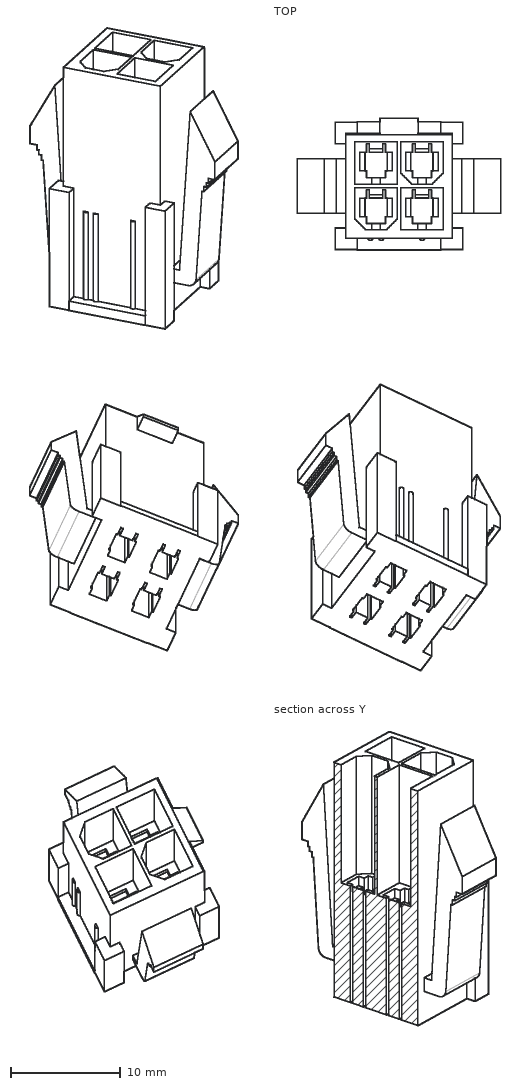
import cadquery as cq

HEIGHT = 23.9
BODY_X = 9.8
BODY_Y = 9.6

POST_SPAN = 11.69
POST_GAP = 7.7
POST_HEIGHT = 11.9
FOOT_SPAN = 11.75
FOOT_HEIGHT = 0.95

RIDGE_WIDTH = 0.48
RIDGE_RISE = 0.2
RIDGE_TOP = 9.78
RIDGE_X = (-2.63, -1.63, 2.13)

LATCH_WIDTH = 3.5
LATCH_REACH = 6.21
LATCH_BOTTOM = 20.85
LATCH_NOSE_TOP = 21.45
RAMP_TOP_Y = 4.68

ARM_WIDTH = 5.02
ARM_TIP = (6.84, 20.75)
HOOK_REACH = 9.35
HOOK_TOP = 16.15
HOOK_BOTTOM = 14.36
GRIP_STEPS = ((8.65, 13.86), (8.45, 13.43), (8.2, 12.93))
ARM_NECK_X = 8.03
ARM_BOTTOM = 3.15
ARM_SLOT_FLOOR = 4.55
ARM_SLOT_X = 5.75
ARM_ROUND = 0.84

PITCH = 4.2
CAVITY = 3.87
CAVITY_FLOOR = POST_HEIGHT
KEY_CHAMFER = 1.0

PASSAGE_WIDTH = 2.0
PASSAGE_BACK = 0.98
PASSAGE_FRONT = -0.72
SHELF_WIDTH = 3.0
SHELF_DEPTH = 0.95
SLOT_WIDTH = 1.72
SLOT_BACK = 1.75
SLOT_FRONT = -1.35
TONGUE_WIDTH = 1.27
TONGUE_STEP_Y = 1.31
TONGUE_STEP = 0.48
GROOVE_WIDTH = 0.76
GROOVE_DROP = 2.63


def block(x0, x1, y0, y1, z0, z1):
    """Box between two opposite corners."""
    return cq.Workplane("XY").box(x1 - x0, y1 - y0, z1 - z0, centered=False).translate((x0, y0, z0))


def centred_block(width, depth, z0, z1):
    """Box centred on the Z axis."""
    return block(-width / 2, width / 2, -depth / 2, depth / 2, z0, z1)


def extrude_along_x(points, width):
    """Prism with a (y, z) outline, centred on x = 0."""
    return cq.Workplane("YZ").polyline(points).close().extrude(width / 2, both=True)


def make_posts_and_feet():
    """Four L-shaped corner posts, joined at the base by two foot bars."""
    posts = centred_block(POST_SPAN, POST_SPAN, 0, POST_HEIGHT)
    posts = posts.cut(centred_block(POST_GAP, POST_SPAN, 0, POST_HEIGHT))
    posts = posts.cut(centred_block(POST_SPAN, POST_GAP, 0, POST_HEIGHT))
    return posts.union(centred_block(POST_GAP, FOOT_SPAN, 0, FOOT_HEIGHT))


def make_ridge(x):
    """Ridge on the -Y face with a shallow arc section, rooted inside the wall."""
    face_y = -BODY_Y / 2
    root_y = face_y + RIDGE_RISE
    left = x - RIDGE_WIDTH / 2
    right = x + RIDGE_WIDTH / 2
    section = cq.Workplane("XY").moveTo(left, face_y)
    section = section.threePointArc((x, face_y - RIDGE_RISE), (right, face_y))
    section = section.lineTo(right, root_y).lineTo(left, root_y).close()
    return section.extrude(RIDGE_TOP)


def make_latch():
    """Wedge with its ramp facing up and outwards."""
    outline = [
        (0, LATCH_BOTTOM),
        (LATCH_REACH, LATCH_BOTTOM),
        (LATCH_REACH, LATCH_NOSE_TOP),
        (RAMP_TOP_Y, HEIGHT),
        (0, HEIGHT),
    ]
    return extrude_along_x(outline, LATCH_WIDTH)


def make_body():
    """Box whose top +Y edge is bevelled in line with the latch ramp."""
    ramp_slope = (HEIGHT - LATCH_NOSE_TOP) / (LATCH_REACH - RAMP_TOP_Y)
    back = BODY_Y / 2
    bevel_bottom = HEIGHT - ramp_slope * (back - RAMP_TOP_Y)
    outline = [(-back, 0), (back, 0), (back, bevel_bottom), (RAMP_TOP_Y, HEIGHT), (-back, HEIGHT)]
    return extrude_along_x(outline, BODY_X)


def make_arm():
    """Leaning arm on the +X side with a hook, grip steps and a rounded elbow."""
    inner_lean = (ARM_TIP[0] - ARM_SLOT_X) / (ARM_TIP[1] - ARM_SLOT_FLOOR)
    neck_z = GRIP_STEPS[-1][1]
    elbow_x = ARM_NECK_X - inner_lean * (neck_z - ARM_BOTTOM)
    outline = [
        (0, ARM_BOTTOM),
        (0, ARM_SLOT_FLOOR),
        (ARM_SLOT_X, ARM_SLOT_FLOOR),
        ARM_TIP,
        (HOOK_REACH, HOOK_TOP),
        (HOOK_REACH, HOOK_BOTTOM),
    ]
    step_top = HOOK_BOTTOM
    for step_x, step_bottom in GRIP_STEPS:
        outline += [(step_x, step_top), (step_x, step_bottom)]
        step_top = step_bottom
    outline += [(ARM_NECK_X, neck_z), (elbow_x, ARM_BOTTOM)]
    arm = cq.Workplane("XZ").polyline(outline).close().extrude(ARM_WIDTH / 2, both=True)
    elbow = cq.selectors.NearestToPointSelector((elbow_x, 0, ARM_BOTTOM))
    return arm.edges("|Y").edges(elbow).fillet(ARM_ROUND)


def make_cavity(keyed):
    """Everything removed for one terminal, centred on the Z axis."""
    front_wall = -CAVITY / 2
    socket = centred_block(CAVITY, CAVITY, CAVITY_FLOOR, HEIGHT)
    if keyed:
        socket = socket.edges("|Z and <Y").chamfer(KEY_CHAMFER)

    half_shelf = SHELF_WIDTH / 2
    shelf_z = CAVITY_FLOOR - SHELF_DEPTH
    shelf = block(-half_shelf, half_shelf, PASSAGE_FRONT, PASSAGE_BACK, shelf_z, CAVITY_FLOOR)

    half_passage = PASSAGE_WIDTH / 2
    half_slot = SLOT_WIDTH / 2
    half_tongue = TONGUE_WIDTH / 2
    passage = block(-half_passage, half_passage, PASSAGE_FRONT, PASSAGE_BACK, 0, CAVITY_FLOOR)
    slot = block(-half_slot, half_slot, SLOT_FRONT, SLOT_BACK, 0, CAVITY_FLOOR)
    tongue = block(-half_tongue, half_tongue, PASSAGE_BACK, SLOT_BACK, 0, CAVITY_FLOOR)
    tongue_step = block(
        -half_tongue, half_tongue, PASSAGE_BACK, TONGUE_STEP_Y, CAVITY_FLOOR - TONGUE_STEP, CAVITY_FLOOR
    )

    groove_outline = [
        (SLOT_FRONT, CAVITY_FLOOR),
        (front_wall, CAVITY_FLOOR),
        (SLOT_FRONT, CAVITY_FLOOR - GROOVE_DROP),
    ]
    groove = extrude_along_x(groove_outline, GROOVE_WIDTH)

    opening = passage.union(slot).cut(tongue).union(tongue_step)
    return socket.union(shelf).union(opening).union(groove)


result = make_body().union(make_posts_and_feet()).union(make_latch())

for ridge_x in RIDGE_X:
    result = result.union(make_ridge(ridge_x))

right_arm = make_arm()
result = result.union(right_arm).union(right_arm.mirror("YZ"))

for side_x in (-1, 1):
    for side_y in (-1, 1):
        is_keyed = side_x == side_y
        place = (side_x * PITCH / 2, side_y * PITCH / 2, 0)
        result = result.cut(make_cavity(is_keyed).translate(place))